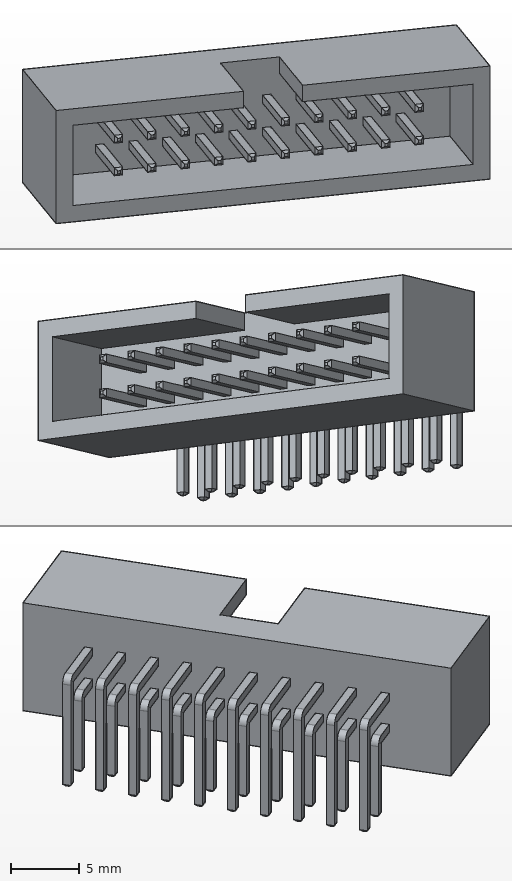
import cadquery as cq


body_length = 33.02
body_depth = 8.85
body_height = 8.85
wall = 1.3
cavity_depth = 6.08
key_slot_width = 4.5

pitch = 2.55
columns = 10
pin_size = 0.63
tip_chamfer = 0.2
pin_setback = 0.92
tail_reach = 5.02
tail_drop = 3.05

cavity_floor = body_depth - cavity_depth
pin_front = body_depth - pin_setback
tail_bottom = -body_height / 2 - tail_drop


def make_body():
    """Block with a cavity open toward +X and a key slot through the top wall."""
    block = cq.Workplane("XY").box(body_depth, body_length, body_height, centered=(False, True, True))
    cavity = cq.Workplane("XY").box(
        cavity_depth, body_length - 2 * wall, body_height - 2 * wall, centered=(False, True, True)
    )
    key_slot = cq.Workplane("XY").box(
        cavity_depth, key_slot_width, body_height / 2, centered=(False, True, False)
    )
    return block.cut(cavity.union(key_slot).translate((cavity_floor, 0, 0)))


def make_pin(outer_x, center_z):
    """Square pin bent down at outer_x, with a rounded outer bend and chamfered tips."""
    top = center_z + pin_size / 2
    bottom = center_z - pin_size / 2
    inner_x = outer_x + pin_size
    pin = (
        cq.Workplane("XZ")
        .moveTo(inner_x, top)
        .lineTo(pin_front, top)
        .lineTo(pin_front, bottom)
        .lineTo(inner_x, bottom)
        .lineTo(inner_x, tail_bottom)
        .lineTo(outer_x, tail_bottom)
        .lineTo(outer_x, bottom)
        .radiusArc((inner_x, top), pin_size)
        .close()
        .extrude(pin_size / 2, both=True)
    )
    return pin.faces(">X").chamfer(tip_chamfer).faces("<Z").chamfer(tip_chamfer)


upper_pin = make_pin(-tail_reach, pitch / 2)
lower_pin = make_pin(-tail_reach + pitch, -pitch / 2)

result = make_body()
for column in range(columns):
    pin_y = (column - (columns - 1) / 2) * pitch
    for pin in (upper_pin, lower_pin):
        result = result.union(pin.translate((0, pin_y, 0)))